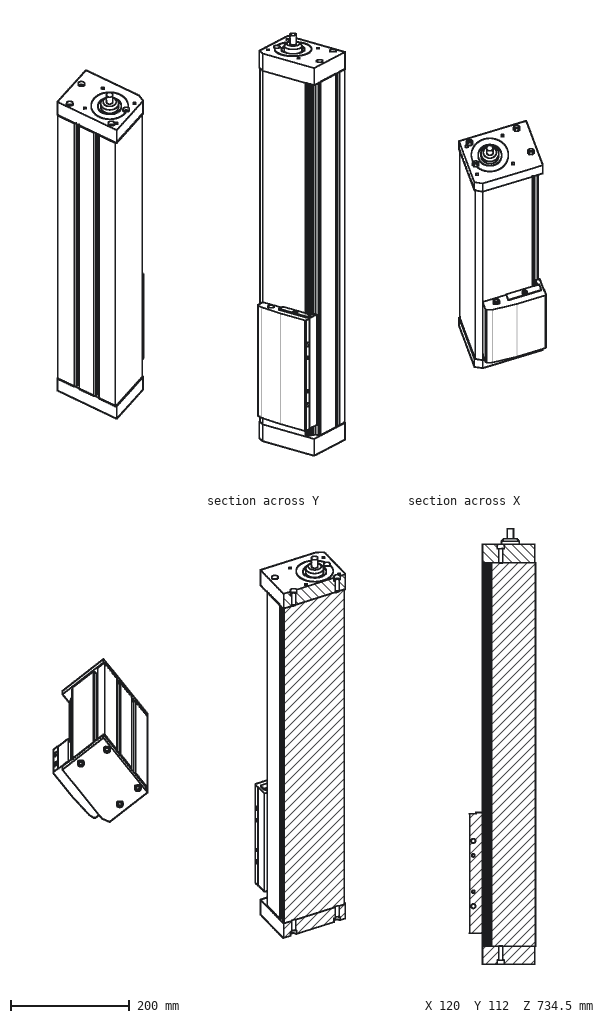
import cadquery as cq
import math

total_height = 734.5
cap_width = 120.0
cap_front_y = 1.5
cap_back_y = 89.5
bottom_cap_height = 31.0
top_cap_height = 31.5
top_cap_face_z = 708.0
bevel_start_x = 107.0
bevel_end_y = 83.0
profile_start_z = bottom_cap_height
profile_end_z = top_cap_face_z - top_cap_height

profile_inset = 1.5
profile_left_x = profile_inset
profile_right_x = cap_width - profile_inset
wall_top_y = 68.0
wall_chamfer = 2.0
ledge_y = 73.0
flank_foot_x = 9.0
flank_steps_start_y = 76.5
flank_step_rise = 2.0
flank_slope = math.tan(math.radians(30))

slot_width = 6.0
slot_depth = 7.0
slot_chamfer = 2.0
front_slot_xs = (40.5, 80.0)
side_slot_y = 20.0

shaft_x = 78.5
shaft_y = 42.5
shaft_diameter = 11.0
collar_diameter = 30.0
collar_top_diameter = 22.0
collar_cone_z = 713.0
collar_top_z = 717.5
pilot_diameter = 62.5
pilot_depth = 1.0
seat_diameter = 40.0
seat_depth = 3.0

screw_places = ((11.0, 59.0), (20.0, 9.5), (103.5, 9.5), (106.5, 51.0))
screw_head_diameter = 11.0
screw_head_depth = 7.0
screw_hole_diameter = 6.5
motor_hole_diameter = 4.5
motor_hole_depth = 15.0
motor_hole_spacing_x = 64.0
motor_hole_spacing_y = 55.0

carriage_bottom_z = 52.0
carriage_top_z = 254.0
carriage_left_x = 1.5
carriage_right_x = 107.0
carriage_back_y = 112.0
carriage_under_y = cap_back_y
carriage_edge_chamfer = 1.5
crown_start_x = 54.0
crown_bend = (97.0, 109.0)
crown_end = (106.0, 106.0)
corner_y = 103.5
leg_left_x = 2.0
leg_right_x = 9.5
leg_front_y = 79.0
leg_back_y = 100.5
end_block_left_x = 6.5
end_block_right_x = 65.5
end_block_height = 2.0
side_hole_y = 105.0
pin_hole_diameter = 7.0
pin_hole_spacing = 110.0
tapped_hole_diameter = 4.5
tapped_hole_spacing = 61.0
side_hole_depth = 11.0
end_hole_y = 96.0
end_holes = ((34.5, 8.0), (85.0, 11.0))
end_hole_core_diameter = 4.5
end_hole_head_depth = 4.5
end_hole_depth = 11.0


def cylinder(diameter, x, y, low_z, high_z):
    """Upright cylinder between two heights."""
    return cq.Workplane("XY", origin=(x, y, low_z)).circle(diameter / 2).extrude(high_z - low_z)


def make_cap(bottom_z, height):
    """Plain end cap with its back right corner bevelled."""
    outline = [
        (0, cap_front_y),
        (cap_width, cap_front_y),
        (cap_width, bevel_end_y),
        (bevel_start_x, cap_back_y),
        (0, cap_back_y),
    ]
    return cq.Workplane("XY", origin=(0, 0, bottom_z)).polyline(outline).close().extrude(height)


def cut_screw_holes(cap, outer_z, inner_z):
    """Cut the counterbored screw holes from the outer face of a cap through to its inner face."""
    inward = math.copysign(screw_head_depth, inner_z - outer_z)
    for x, y in screw_places:
        cap = cap.cut(cylinder(screw_head_diameter, x, y, outer_z, outer_z + inward))
        cap = cap.cut(cylinder(screw_hole_diameter, x, y, outer_z, inner_z))
    return cap


def make_bottom_cap():
    return cut_screw_holes(make_cap(0, bottom_cap_height), 0, profile_start_z)


def make_top_cap():
    """Drive end cap with the shaft bore, its recesses and the motor mounting holes."""
    face_z = top_cap_face_z
    cap = cut_screw_holes(make_cap(profile_end_z, top_cap_height), face_z, profile_end_z)
    cap = cap.cut(cylinder(pilot_diameter, shaft_x, shaft_y, face_z - pilot_depth, face_z))
    cap = cap.cut(cylinder(seat_diameter, shaft_x, shaft_y, face_z - seat_depth, face_z))
    cap = cap.cut(cylinder(shaft_diameter, shaft_x, shaft_y, profile_end_z, face_z))
    for side_x in (-1, 1):
        for side_y in (-1, 1):
            x = shaft_x + side_x * motor_hole_spacing_x / 2
            y = shaft_y + side_y * motor_hole_spacing_y / 2
            cap = cap.cut(cylinder(motor_hole_diameter, x, y, face_z - motor_hole_depth, face_z))
    return cap


def stepped_flank():
    """Points of the leaning guide flank: a plain foot, then fine steps up to the back face."""
    x = flank_foot_x + (flank_steps_start_y - ledge_y) * flank_slope
    y = flank_steps_start_y
    points = [(flank_foot_x, ledge_y), (x, y)]
    step_count = round((cap_back_y - flank_steps_start_y) / flank_step_rise)
    for _ in range(step_count):
        x += flank_step_rise * flank_slope
        points.append((x, y))
        y += flank_step_rise
        points.append((x, y))
    return points


def slot_cutter(centre, direction):
    """Chamfered slot running up the profile, open at the centre point and cut along a direction."""
    mouth = slot_width / 2 + slot_chamfer
    half = slot_width / 2
    section = [
        (-mouth, 0),
        (-half, slot_chamfer),
        (-half, slot_depth),
        (half, slot_depth),
        (half, slot_chamfer),
        (mouth, 0),
    ]
    plane = cq.Plane(
        origin=(centre[0], centre[1], profile_start_z),
        xDir=(direction[1], -direction[0], 0),
        normal=(0, 0, 1),
    )
    return cq.Workplane(plane).polyline(section).close().extrude(profile_end_z - profile_start_z)


def make_profile():
    """Extruded body between the two end caps."""
    outline = [
        (profile_left_x, 0),
        (profile_right_x, 0),
        (profile_right_x, bevel_end_y),
        (bevel_start_x, cap_back_y),
        *reversed(stepped_flank()),
        (profile_left_x + wall_chamfer, ledge_y),
        (profile_left_x + wall_chamfer, wall_top_y + wall_chamfer),
        (profile_left_x, wall_top_y),
    ]
    base = cq.Workplane("XY", origin=(0, 0, profile_start_z)).polyline(outline).close()
    profile = base.extrude(profile_end_z - profile_start_z)
    for x in front_slot_xs:
        profile = profile.cut(slot_cutter((x, 0), (0, 1)))
    return profile.cut(slot_cutter((profile_left_x, side_slot_y), (1, 0)))


def make_shaft():
    """Shaft with its collar, resting on the floor of the seat in the top cap."""
    seat_z = top_cap_face_z - seat_depth
    half_section = [
        (0, profile_end_z),
        (shaft_diameter / 2, profile_end_z),
        (shaft_diameter / 2, seat_z),
        (collar_diameter / 2, seat_z),
        (collar_diameter / 2, collar_cone_z),
        (collar_top_diameter / 2, collar_top_z),
        (shaft_diameter / 2, collar_top_z),
        (shaft_diameter / 2, total_height),
        (0, total_height),
    ]
    section = cq.Workplane("XZ", origin=(shaft_x, shaft_y, 0)).polyline(half_section).close()
    return section.revolve(360, (0, 0), (0, 1))


def carriage_block(outline, top_z):
    """Prism from the lower end of the carriage up to a given height."""
    base = cq.Workplane("XY", origin=(0, 0, carriage_bottom_z)).polyline(outline).close()
    return base.extrude(top_z - carriage_bottom_z)


def make_carriage():
    """Crowned plate with a leg beside the guide flank and an end block under the plate."""
    plate = carriage_block(
        [
            (leg_left_x, carriage_under_y),
            (carriage_right_x, carriage_under_y),
            (carriage_right_x, corner_y),
            crown_end,
            crown_bend,
            (crown_start_x, carriage_back_y),
            (carriage_left_x + carriage_edge_chamfer, carriage_back_y),
            (carriage_left_x, carriage_back_y - carriage_edge_chamfer),
            (carriage_left_x, leg_back_y),
            (leg_left_x, leg_back_y),
        ],
        carriage_top_z,
    )
    leg = carriage_block(
        [
            (leg_left_x, leg_front_y),
            (leg_right_x, leg_front_y),
            (leg_right_x, leg_back_y),
            (leg_left_x, leg_back_y),
        ],
        carriage_top_z,
    )
    end_block = carriage_block(
        [
            (end_block_left_x, carriage_under_y),
            (end_block_right_x, carriage_under_y),
            (end_block_right_x, leg_back_y),
            (end_block_left_x, leg_back_y),
        ],
        carriage_top_z + end_block_height,
    )
    return cut_end_holes(cut_side_holes(plate.union(leg).union(end_block)))


def cut_side_holes(carriage):
    """Cut the two pin holes and two tapped holes in the left edge of the plate."""
    middle_z = (carriage_bottom_z + carriage_top_z) / 2
    pairs = (
        (pin_hole_diameter, pin_hole_spacing),
        (tapped_hole_diameter, tapped_hole_spacing),
    )
    for diameter, spacing in pairs:
        for side in (-1, 1):
            centre = (carriage_left_x, side_hole_y, middle_z + side * spacing / 2)
            hole = cq.Workplane("YZ", origin=centre).circle(diameter / 2).extrude(side_hole_depth)
            carriage = carriage.cut(hole)
    return carriage


def cut_end_holes(carriage):
    """Cut the counterbored holes in the upper end of the carriage."""
    end_z = carriage_top_z + end_block_height
    head_z = carriage_top_z - end_hole_head_depth
    core_z = carriage_top_z - end_hole_depth
    for x, diameter in end_holes:
        carriage = carriage.cut(cylinder(diameter, x, end_hole_y, head_z, end_z))
        carriage = carriage.cut(cylinder(end_hole_core_diameter, x, end_hole_y, core_z, head_z))
    return carriage


bottom_cap = make_bottom_cap()
top_cap = make_top_cap()
profile = make_profile()
shaft = make_shaft()
carriage = make_carriage()

result = cq.Compound.makeCompound(
    [bottom_cap.val(), top_cap.val(), profile.val(), shaft.val(), carriage.val()]
)